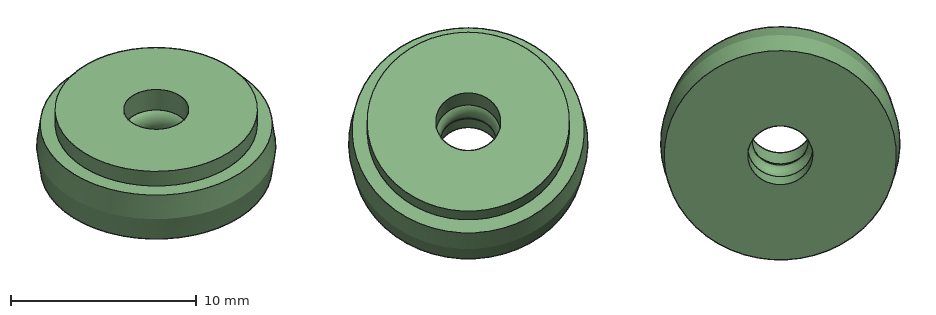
import cadquery as cq

rim_height = 3.0
step_height = 1.0
rim_diameter = 12.9
rim_end_diameter = 12.5
step_diameter = 10.9
bore_diameter = 3.5

ring_inner_diameter = 3.0
ring_section_diameter = 1.5
groove_floor_z = 1.0
groove_height = 1.6

total_height = rim_height + step_height
rim_radius = rim_diameter / 2
rim_end_radius = rim_end_diameter / 2
step_radius = step_diameter / 2
bore_radius = bore_diameter / 2

section_radius = ring_section_diameter / 2
ring_center_radius = ring_inner_diameter / 2 + section_radius
ring_center_z = groove_floor_z + section_radius

groove_radius = ring_center_radius + section_radius
groove_top_z = groove_floor_z + groove_height


def make_housing():
    """Revolve the half section, including the rectangular groove in the bore wall."""
    return (
        cq.Workplane("XZ")
        .moveTo(bore_radius, 0)
        .lineTo(rim_end_radius, 0)
        .lineTo(rim_radius, rim_height / 2)
        .lineTo(rim_end_radius, rim_height)
        .lineTo(step_radius, rim_height)
        .lineTo(step_radius, total_height)
        .lineTo(bore_radius, total_height)
        .lineTo(bore_radius, groove_top_z)
        .lineTo(groove_radius, groove_top_z)
        .lineTo(groove_radius, groove_floor_z)
        .lineTo(bore_radius, groove_floor_z)
        .close()
        .revolve(360, (0, 0, 0), (0, 1, 0))
    )


def make_o_ring():
    """Revolve the round section about the bore axis."""
    return (
        cq.Workplane("XZ")
        .center(ring_center_radius, ring_center_z)
        .circle(section_radius)
        .revolve(360, (-ring_center_radius, 0, 0), (-ring_center_radius, 1, 0))
    )


housing = make_housing()
o_ring = make_o_ring()

result = cq.Compound.makeCompound([housing.val(), o_ring.val()])